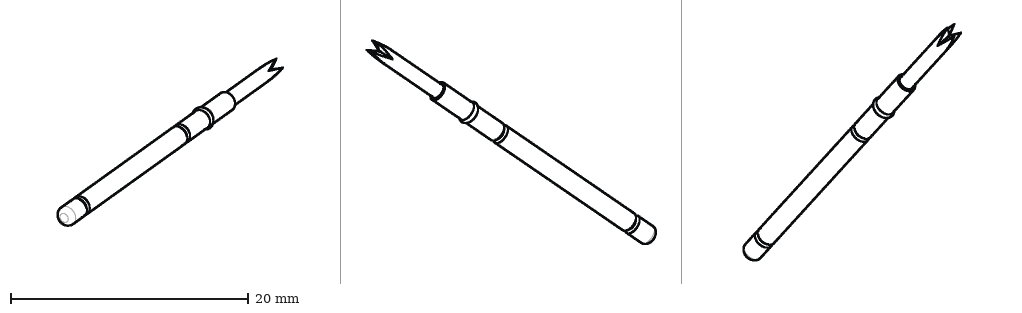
import cadquery as cq
import math

total_length = 34.0
plunger_length = 8.0
plunger_radius = 0.663
barrel_radius = 0.867
barrel_end = total_length - plunger_length
tail_round = 0.46

ring_radius = 1.003
ring_width = 0.5
ring_center = 22.25

groove_centers = (2.48, 18.55)
groove_width = 0.45
groove_depth = groove_width / 2

tip_count = 4
crown_center_depth = 0.8
crown_rim_depth = 2.0
notch_reach = 2.05


def rod():
    """Barrel with a rounded tail, and the thinner plunger."""
    barrel = cq.Workplane("XZ").circle(barrel_radius).extrude(-barrel_end)
    barrel = barrel.faces("<Y").edges().fillet(tail_round)
    plunger = cq.Workplane("XZ", origin=(0, barrel_end, 0)).circle(plunger_radius).extrude(-plunger_length)
    return barrel.union(plunger)


def press_ring():
    """Ring with a convex outer face."""
    half_width = ring_width / 2
    return (
        cq.Workplane("XY")
        .moveTo(0, ring_center - half_width)
        .lineTo(barrel_radius, ring_center - half_width)
        .threePointArc((ring_radius, ring_center), (barrel_radius, ring_center + half_width))
        .lineTo(0, ring_center + half_width)
        .close()
        .revolve(360, (0, 0, 0), (0, 1, 0))
    )


def barrel_groove(center):
    """V-shaped ring to cut from the barrel."""
    half_width = groove_width / 2
    return (
        cq.Workplane("XY")
        .moveTo(barrel_radius - groove_depth, center)
        .lineTo(barrel_radius, center - half_width)
        .lineTo(barrel_radius, center + half_width)
        .close()
        .revolve(360, (0, 0, 0), (0, 1, 0))
    )


def crown_notch(angle):
    """V prism running down and outward from the axis, at the given angle about Y."""
    floor_slope = (crown_rim_depth - crown_center_depth) / plunger_radius
    flank_slope = floor_slope + math.sqrt(2) * crown_center_depth / plunger_radius
    tilt = math.atan(floor_slope)
    half_width = notch_reach / (flank_slope * math.cos(tilt))

    crown_center = cq.Vector(0, total_length - crown_center_depth, 0)
    floor_direction = cq.Vector(math.cos(tilt), -math.sin(tilt), 0)
    start = crown_center - floor_direction * notch_reach
    section = cq.Plane(origin=start, xDir=(0, 0, -1), normal=floor_direction)
    return (
        cq.Workplane(section)
        .polyline([(0, 0), (half_width, notch_reach), (-half_width, notch_reach)])
        .close()
        .extrude(3 * notch_reach)
        .rotate((0, 0, 0), (0, 1, 0), angle)
    )


result = rod().union(press_ring())
for center in groove_centers:
    result = result.cut(barrel_groove(center))

tip_spacing = 360 / tip_count
for index in range(tip_count):
    result = result.cut(crown_notch((index + 0.5) * tip_spacing))